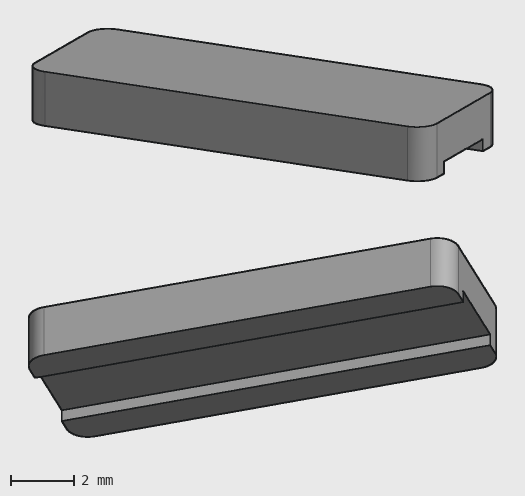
import cadquery as cq

length = 14.3
width = 5.1
height = 1.8
corner_radius = 0.7

channel_width = 2.7
channel_depth = 0.4


def make_plate():
    """Flat plate with rounded vertical corners, resting on Z = 0."""
    plate = cq.Workplane("XY").box(length, width, height, centered=(True, True, False))
    return plate.edges("|Z").fillet(corner_radius)


def make_channel():
    """Rectangular bar removed from the underside along the full length."""
    return cq.Workplane("XY").box(length, channel_width, channel_depth, centered=(True, True, False))


result = make_plate().cut(make_channel())